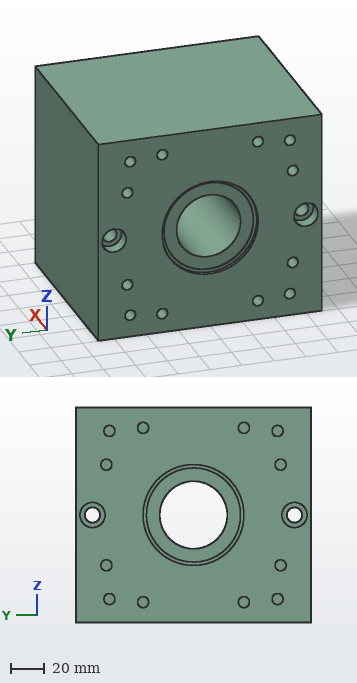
import cadquery as cq

block_x = 120.0
block_y = 140.0
block_z = 128.0
face_x = -block_x / 2

bore_diameter = 40.0
outer_recess_diameter = 60.0
outer_recess_depth = 2.5
inner_recess_diameter = 56.0
inner_recess_depth = 3.0

through_diameter = 9.0
counterbore_diameter = 15.0
counterbore_depth = 9.0
through_offset = 60.0

blind_diameter = 6.6
blind_depth = 20.0
corner_offset = 50.0
pair_near_offset = 30.0
pair_far_offset = 51.8


def mirrored(y, z):
    """The point (y, z) repeated in all four quadrants of the face."""
    return [(side_y * y, side_z * z) for side_y in (-1, 1) for side_z in (-1, 1)]


def holes(points, diameter, depth):
    """Cylinders running from the -X face into the block."""
    face = cq.Workplane("YZ", origin=(face_x, 0, 0))
    return face.pushPoints(points).circle(diameter / 2).extrude(depth)


centre = [(0, 0)]
through_points = [(-through_offset, 0), (through_offset, 0)]
blind_points = (
    mirrored(corner_offset, corner_offset)
    + mirrored(pair_near_offset, pair_far_offset)
    + mirrored(pair_far_offset, pair_near_offset)
)

result = (
    cq.Workplane("XY")
    .box(block_x, block_y, block_z)
    .cut(holes(centre, bore_diameter, block_x))
    .cut(holes(centre, outer_recess_diameter, outer_recess_depth))
    .cut(holes(centre, inner_recess_diameter, inner_recess_depth))
    .cut(holes(through_points, through_diameter, block_x))
    .cut(holes(through_points, counterbore_diameter, counterbore_depth))
    .cut(holes(blind_points, blind_diameter, blind_depth))
)